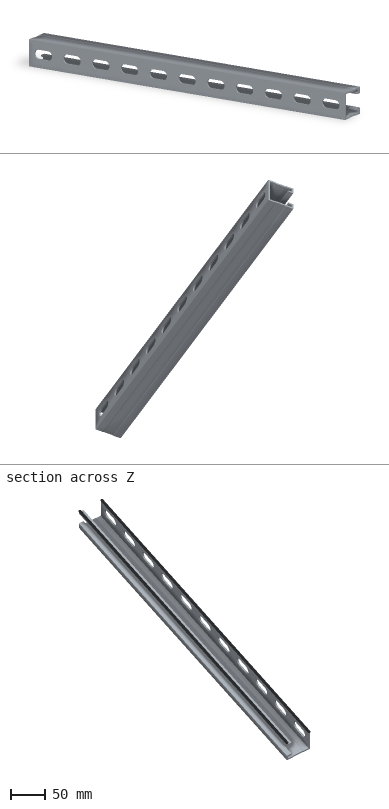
import cadquery as cq

length = 550.0
width = 41.0
height = 41.0
thickness = 2.5

mouth = 22.0
lip_depth = 8.0

press_depth = 0.5
press_floor = 16.0
press_slope = 1.0

slot_count = 11
slot_pitch = length / slot_count
slot_length = 30.0
slot_height = 14.5

half_width = width / 2
half_height = height / 2
half_mouth = mouth / 2
floor_edge = press_floor / 2
slope_edge = floor_edge + press_slope


def flange_line(z):
    """Points along one flange surface from -Y to +Y, stepping inward over the pressed band."""
    return [
        (-slope_edge, z),
        (-floor_edge, z - press_depth),
        (floor_edge, z - press_depth),
        (slope_edge, z),
    ]


def mirrored(points):
    """Reflect a run of (y, z) points below mid-height and reverse its order."""
    return [(y, -z) for y, z in reversed(points)]


def make_channel():
    """Extrude the lipped C-section along X."""
    inner_web = -half_width + thickness
    inner_lip = half_width - thickness
    inner_flange = half_height - thickness
    lip_end = half_width - lip_depth

    upper_outside = [
        (-half_width, half_height),
        *flange_line(half_height),
        (half_width, half_height),
        (half_width, half_mouth),
        (lip_end, half_mouth),
    ]
    upper_inside = [
        (lip_end, half_mouth + thickness),
        (inner_lip, half_mouth + thickness),
        (inner_lip, inner_flange),
        *reversed(flange_line(inner_flange)),
        (inner_web, inner_flange),
    ]
    outline = upper_outside + upper_inside + mirrored(upper_inside) + mirrored(upper_outside)
    return cq.Workplane("YZ").polyline(outline).close().extrude(length / 2, both=True)


def make_slots():
    """Row of round-ended slots, deep enough to cut only the web at -Y."""
    return (
        cq.Workplane("XZ", origin=(0, -half_width, 0))
        .rarray(slot_pitch, 5.5, slot_count, 1)
        .slot2D(slot_length, slot_height)
        .extrude(-thickness)
    )


result = make_channel().cut(make_slots())